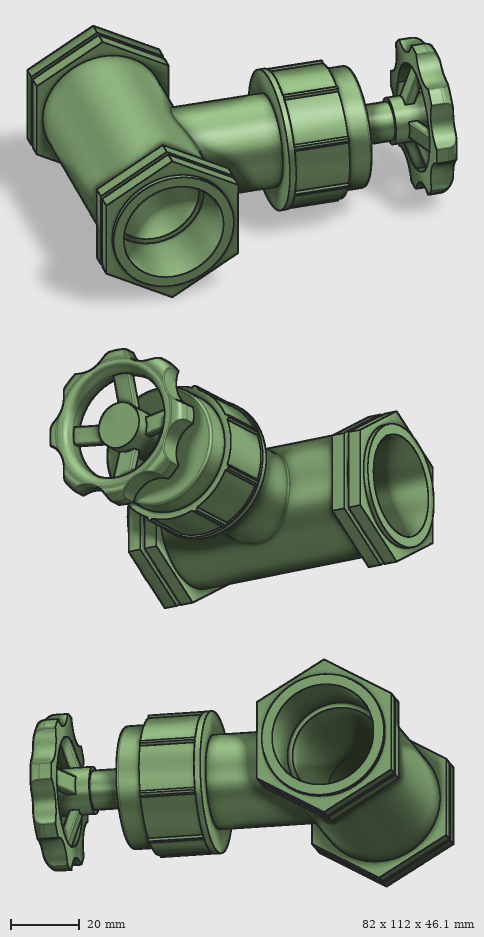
import cadquery as cq
import math


pipe_length = 82.0
pipe_diameter = 36.4
bore_diameter = 27.2
socket_diameter = 30.2
socket_depth = 19.5

collar_corner_diameter = 46.1
collar_width = 4.0
collar_gap = 1.5

collar_across_flats = collar_corner_diameter * math.cos(math.radians(30))
overall_length = 112.0
wheel_top_y = overall_length - collar_across_flats / 2

branch_diameter = 27.5
branch_root_fillet = 0.6
flange_diameter = 41.4
flange_bottom_y = 41.3
flange_thickness = 1.9
bonnet_diameter = 40.1
bonnet_length = 16.5
cap_diameter = 35.8
cap_height = 7.5
cap_edge_fillet = 0.8
rib_count = 8
rib_base_width = 1.9
rib_top_width = 0.8

stem_diameter = 11.5
hub_diameter = 13.8
hub_bottom_y = 77.7
hub_recess = 3.0

wheel_diameter = 46.1
wheel_hole_diameter = 32.0
wheel_thickness = 7.0
wheel_edge_fillet = 3.2
scallop_edge_fillet = 0.3
scallop_count = 8
scallop_radius = 8.7
scallop_center_radius = 28.0
spoke_count = 4
spoke_width = 5.4
spoke_thickness = 3.0
spoke_drop = 3.2
spoke_rim_overlap = 1.1
spoke_edge_fillet = 0.5

position_tolerance = 0.001

flange_top_y = flange_bottom_y + flange_thickness
bonnet_top_y = flange_top_y + bonnet_length
cap_top_y = bonnet_top_y + cap_height
wheel_bottom_y = wheel_top_y - wheel_thickness
hub_top_y = wheel_top_y - hub_recess


def cylinder_y(diameter, start_y, end_y):
    """Cylinder on the branch axis between two Y positions."""
    plane = cq.Workplane("XZ", origin=(0, start_y, 0))
    return plane.circle(diameter / 2).extrude(start_y - end_y)


def cylinder_x(diameter, start_x, length):
    """Cylinder on the pipe axis."""
    return cq.Workplane("YZ", origin=(start_x, 0, 0)).circle(diameter / 2).extrude(length)


def turn_about_branch(shape, angle):
    return shape.rotate((0, 0, 0), (0, 1, 0), angle)


def make_tee():
    """Run pipe and branch, blended where they meet."""
    pipe = cylinder_x(pipe_diameter, -pipe_length / 2, pipe_length)
    branch = cylinder_y(branch_diameter, 0, flange_bottom_y)
    reach = branch_diameter / 2
    junction = cq.selectors.BoxSelector(
        (-reach, reach / 2, -reach),
        (reach, pipe_diameter / 2 + branch_root_fillet, reach),
    )
    return pipe.union(branch).edges(junction).fillet(branch_root_fillet)


def make_collars():
    """Two hexagonal collars near each pipe end, corners at +Z and -Z."""
    pitch = collar_gap + collar_width
    first_x = -pipe_length / 2 + collar_gap
    collars = cq.Workplane("XY")
    for start_x in (first_x, first_x + pitch):
        collar = (
            cq.Workplane("YZ", origin=(start_x, 0, 0))
            .transformed(rotate=(0, 0, 90))
            .polygon(6, collar_corner_diameter)
            .extrude(collar_width)
        )
        collars = collars.add(collar).add(collar.mirror("YZ"))
    return collars.combine()


def bore_tee(body):
    """Through bore with a wider socket at each pipe end."""
    body = body.cut(cylinder_x(bore_diameter, -pipe_length / 2, pipe_length))
    socket = cylinder_x(socket_diameter, -pipe_length / 2, socket_depth)
    return body.cut(socket).cut(socket.mirror("YZ"))


def make_bonnet():
    """Flange, ribbed union nut and rounded cap."""
    bonnet = cylinder_y(flange_diameter, flange_bottom_y, flange_top_y)
    bonnet = bonnet.union(cylinder_y(bonnet_diameter, flange_bottom_y, bonnet_top_y))
    cap = cylinder_y(cap_diameter, flange_bottom_y, cap_top_y)
    bonnet = bonnet.union(cap.faces(">Y").edges().fillet(cap_edge_fillet))

    root_x = cap_diameter / 2
    base_x = bonnet_diameter / 2
    top_x = flange_diameter / 2
    rib = (
        cq.Workplane("XZ", origin=(0, flange_top_y, 0))
        .moveTo(root_x, -rib_base_width / 2)
        .lineTo(base_x, -rib_base_width / 2)
        .lineTo(top_x, -rib_top_width / 2)
        .lineTo(top_x, rib_top_width / 2)
        .lineTo(base_x, rib_base_width / 2)
        .lineTo(root_x, rib_base_width / 2)
        .close()
        .extrude(-bonnet_length)
    )
    rib_pitch = 360 / rib_count
    for index in range(rib_count):
        bonnet = bonnet.union(turn_about_branch(rib, (index + 0.5) * rib_pitch))
    return bonnet


def is_scallop_rim(edge):
    """True for an edge that lies on a scallop wall, clear of the wheel underside."""
    middle = edge.positionAt(0.5)
    pitch = 2 * math.pi / scallop_count
    angle_from_scallop = math.atan2(middle.z, middle.x) % pitch - pitch / 2
    radius = math.hypot(middle.x, middle.z)
    distance = math.hypot(
        radius * math.cos(angle_from_scallop) - scallop_center_radius,
        radius * math.sin(angle_from_scallop),
    )
    on_wall = abs(distance - scallop_radius) < position_tolerance
    return on_wall and middle.y > wheel_bottom_y + position_tolerance


def make_wheel_rim():
    """Rounded ring with finger scallops around its edge."""
    ring = cylinder_y(wheel_diameter, wheel_bottom_y, wheel_top_y)
    ring = ring.cut(cylinder_y(wheel_hole_diameter, wheel_bottom_y, wheel_top_y))
    ring = ring.faces(">Y").edges().fillet(wheel_edge_fillet)

    scallop = cylinder_y(2 * scallop_radius, wheel_bottom_y, wheel_top_y)
    scallop = scallop.translate((scallop_center_radius, 0, 0))
    scallop_pitch = 360 / scallop_count
    for index in range(scallop_count):
        ring = ring.cut(turn_about_branch(scallop, (index + 0.5) * scallop_pitch))

    return ring.edges().filter(is_scallop_rim).fillet(scallop_edge_fillet)


def make_spokes():
    """Flat spokes that slope from the rim down to the hub."""
    hub_radius = hub_diameter / 2
    hole_radius = wheel_hole_diameter / 2
    slope = spoke_drop / (hole_radius - hub_radius)
    inner_x = hub_radius / 2
    outer_x = hole_radius + spoke_rim_overlap
    inner_y = wheel_bottom_y - slope * (hole_radius - inner_x)
    outer_y = wheel_bottom_y + slope * (outer_x - hole_radius)
    spoke = (
        cq.Workplane("XY")
        .moveTo(inner_x, inner_y)
        .lineTo(outer_x, outer_y)
        .lineTo(outer_x, outer_y + spoke_thickness)
        .lineTo(inner_x, inner_y + spoke_thickness)
        .close()
        .extrude(spoke_width / 2, both=True)
    )
    spoke = spoke.edges("not(|Y or |Z)").fillet(spoke_edge_fillet)
    spokes = cq.Workplane("XY")
    for index in range(spoke_count):
        spokes = spokes.add(turn_about_branch(spoke, index * 360 / spoke_count))
    return spokes.combine()


stem = cylinder_y(stem_diameter, flange_bottom_y, hub_top_y)
hub = cylinder_y(hub_diameter, hub_bottom_y, hub_top_y)
handwheel = make_wheel_rim().union(make_spokes()).union(hub)

body = bore_tee(make_tee().union(make_collars()))
result = body.union(make_bonnet()).union(stem).union(handwheel)